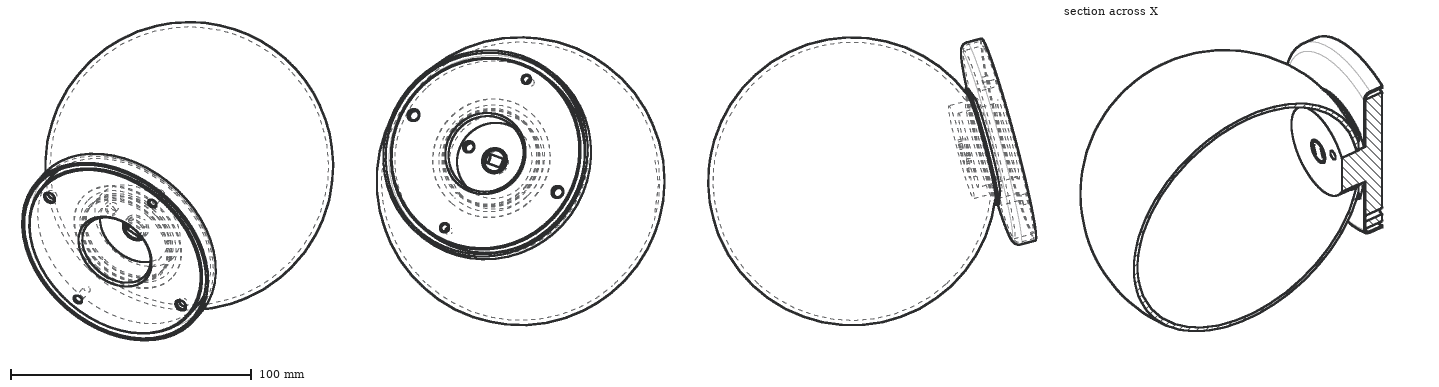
import cadquery as cq
import math


total_length = 127.2
globe_diameter = 119.9
globe_wall = 2.0
globe_rim_diameter = 45.0
globe_opening_diameter = 40.6

canopy_diameter = 87.0
canopy_depth = 9.3
canopy_wall = 1.0
canopy_outer_fillet = 3.0
canopy_inner_fillet = canopy_outer_fillet - canopy_wall

plate_diameter = canopy_diameter - 2 * canopy_outer_fillet
plate_chamfer = 0.5
cup_diameter = 40.0
bore_diameter = 32.0
bore_chamfer = 1.1
cup_floor_y = 17.3
cup_floor_thickness = 3.0

hole_chamfer = 0.45
screw_hole_diameter = 4.2
screw_hole_depth = 2.5
thread_hole_diameter = 3.0
plate_hole_radius = 35.2
hole_tilt = 29.6
cable_hole_diameter = 4.0
cable_hole_radius = 12.6

collar_diameter = 50.0
collar_dome_radius = 61.6

sleeve_diameter = 10.5
plug_diameter = 8.9
slot_width = 4.0
saddle_length = 5.6
slot_tilt = 22.0

globe_radius = globe_diameter / 2
globe_center_y = total_length - globe_radius
globe_rim_y = globe_center_y - math.sqrt(globe_radius**2 - (globe_rim_diameter / 2) ** 2)
canopy_floor_y = canopy_depth - canopy_wall
cup_end_y = cup_floor_y + cup_floor_thickness


def cylinder(diameter, y_start, y_end, x=0.0, z=0.0):
    """Cylinder along +Y between two Y positions."""
    length = y_end - y_start
    start = cq.Vector(x, y_start, z)
    return cq.Workplane(cq.Solid.makeCylinder(diameter / 2, length, start, cq.Vector(0, 1, 0)))


def countersunk_hole(diameter, y_start, y_end, x=0.0, z=0.0, chamfer=hole_chamfer):
    """Cutter for a hole along +Y with a 45 degree chamfer at its start."""
    radius = diameter / 2
    mouth = cq.Solid.makeCone(radius + chamfer, radius, chamfer, cq.Vector(x, y_start, z), cq.Vector(0, 1, 0))
    return cylinder(diameter, y_start, y_end, x, z).union(cq.Workplane(mouth))


def polar(radius, angle):
    """X and Z of a point at a radius and an angle in degrees from +X towards +Z."""
    return radius * math.cos(math.radians(angle)), radius * math.sin(math.radians(angle))


def make_globe():
    """Hollow globe, cut flat and opened on the canopy side."""
    ball = cq.Workplane("XY").sphere(globe_radius)
    hollow = cq.Workplane("XY").sphere(globe_radius - globe_wall)
    shell = ball.cut(hollow).rotate((0, 0, 0), (1, 0, 0), -90).translate((0, globe_center_y, 0))
    shell = shell.cut(cylinder(globe_diameter, 0, globe_rim_y))
    return shell.cut(cylinder(globe_opening_diameter, 0, globe_center_y))


def dome_y(radius):
    """Y of the collar's underside, a sphere concentric with the globe, at a radius from the axis."""
    return globe_center_y - math.sqrt(collar_dome_radius**2 - radius**2)


def make_collar():
    """Thin dished ring with a narrow straight rim, clamped between canopy and globe."""
    bore_radius = cup_diameter / 2
    rim_radius = collar_diameter / 2
    base_radius = math.sqrt(collar_dome_radius**2 - (globe_center_y - canopy_depth) ** 2)
    middle_radius = (base_radius + rim_radius) / 2
    profile = (
        cq.Workplane("XY")
        .moveTo(bore_radius, canopy_depth)
        .lineTo(base_radius, canopy_depth)
        .threePointArc((middle_radius, dome_y(middle_radius)), (rim_radius, dome_y(rim_radius)))
        .lineTo(rim_radius, globe_rim_y)
        .lineTo(bore_radius, globe_rim_y)
        .close()
    )
    return profile.revolve(360, (0, 0, 0), (0, 1, 0))


def make_canopy():
    """Dished cover of even wall, with a centre hole for the cup."""
    outside = cylinder(canopy_diameter, 0, canopy_depth).faces(">Y").edges().fillet(canopy_outer_fillet)
    inside_diameter = canopy_diameter - 2 * canopy_wall
    inside = cylinder(inside_diameter, 0, canopy_floor_y).faces(">Y").edges().fillet(canopy_inner_fillet)
    return outside.cut(inside).cut(cylinder(cup_diameter, 0, canopy_depth))


def make_mount():
    """Wall plate and cup in one piece, with its bore and holes."""
    mount = cylinder(plate_diameter, 0, canopy_floor_y).faces("<Y").edges().chamfer(plate_chamfer)
    mount = mount.union(cylinder(cup_diameter, 0, cup_end_y))
    mount = mount.cut(countersunk_hole(bore_diameter, 0, cup_floor_y, chamfer=bore_chamfer))

    for angle in (-hole_tilt, 180 - hole_tilt):
        x, z = polar(plate_hole_radius, angle)
        mount = mount.cut(countersunk_hole(screw_hole_diameter, 0, screw_hole_depth, x, z))
        x, z = polar(plate_hole_radius, angle + 90)
        mount = mount.cut(countersunk_hole(thread_hole_diameter, 0, canopy_floor_y, x, z))

    x, z = polar(cable_hole_radius, 180 - hole_tilt)
    mount = mount.cut(countersunk_hole(cable_hole_diameter, cup_floor_y, cup_end_y, x, z))
    return mount.cut(cylinder(sleeve_diameter, cup_floor_y, cup_end_y))


def make_sleeve():
    """Thin tube that lines the centre hole of the cup floor."""
    tube = cylinder(sleeve_diameter, cup_floor_y, cup_end_y)
    return tube.cut(cylinder(plug_diameter, cup_floor_y, cup_end_y))


def make_plug():
    """Plug with a slot across it, bridged in the middle by a half-round saddle."""
    middle_y = (cup_floor_y + cup_end_y) / 2
    slot = cq.Workplane("XY").box(plug_diameter, cup_floor_thickness, slot_width).translate((0, middle_y, 0))
    saddle = cq.Workplane("XY").box(saddle_length, cup_floor_thickness, slot_width).translate((0, middle_y, 0))
    groove = cq.Workplane("YZ").center(cup_floor_y, 0).circle(slot_width / 2)
    groove = groove.extrude(saddle_length / 2, both=True)
    opening = slot.cut(saddle.cut(groove)).rotate((0, 0, 0), (0, 1, 0), slot_tilt)
    return cylinder(plug_diameter, cup_floor_y, cup_end_y).cut(opening)


globe = make_globe()
collar = make_collar()
canopy = make_canopy()
mount = make_mount()
sleeve = make_sleeve()
plug = make_plug()

result = cq.Compound.makeCompound(
    [globe.val(), collar.val(), canopy.val(), mount.val(), sleeve.val(), plug.val()]
)